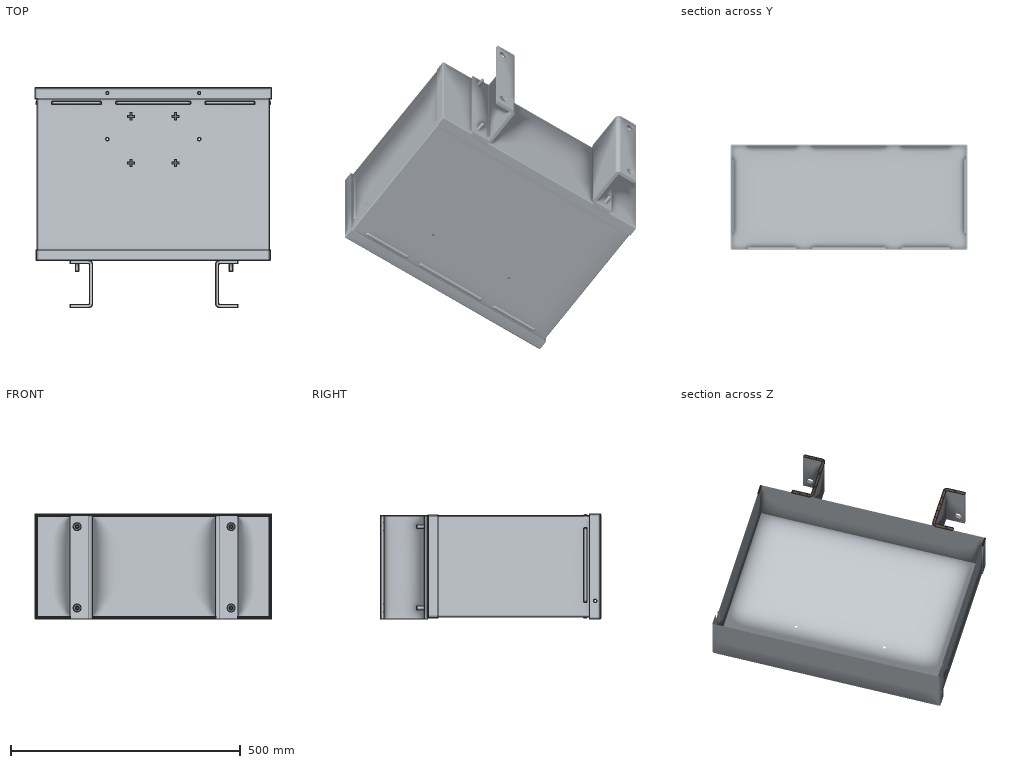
import cadquery as cq

sheet = 1.5
corner_radius = 2.2
cut_margin = 10.0

lid_width = 515.25
lid_height = 229.0
lid_depth = 25.0
lid_sheet = 2.0
lid_corner_radius = 2.5
lid_bend_radius = 3.8

enclosure_depth = 376.9
sleeve_width = 506.5
sleeve_height = 221.0
front_width = sleeve_width + 2 * sheet
front_height = sleeve_height + 2 * sheet
front_depth = 22.5
front_bend_radius = 1.5
sleeve_start = sheet
sleeve_end = enclosure_depth - lid_sheet
lid_start = enclosure_depth - lid_depth

bead_radius = 5.0
bead_rise = 2.0
bead_width = 8.0
bead_y = lid_start - 8.8
long_bead = 164.0
short_bead = 109.5
short_bead_x = 167.0
side_bead_z = 3.0

screw_hole = 6.5
lid_hole_y = enclosure_depth - lid_depth / 2
top_hole_x = 100.0
sleeve_hole_y = 264.0
side_hole_z = -75.0
cable_hole = 7.0
cable_hole_y = 298.5

cross_length = 16.0
cross_arm = 4.0
cross_x = 48.5
cross_y_middle = 262.8
cross_spacing_y = 101.6

bracket_middle_x = 1.8
bracket_middle_z = -2.0
bracket_length = 225.0
bracket_depth = 479.27 - enclosure_depth
bracket_width = 48.8
bracket_plate = 7.0
bracket_inner_bend = 1.8
bracket_outer_bend = bracket_inner_bend + bracket_plate
bracket_outer_x = 182.5
access_hole = 17.0

stud_diameter = 8.0
stud_length = 24.0
stud_chamfer = 1.0
stud_x = bracket_outer_x - 15.0
stud_spacing_z = 177.0


def block(width, y_start, y_end, height):
    """Block centred in X and Z, from y_start to y_end."""
    return (
        cq.Workplane("XY")
        .box(width, y_end - y_start, height)
        .translate((0, (y_start + y_end) / 2, 0))
    )


def rounded_block(width, y_start, y_end, height, radius):
    return block(width, y_start, y_end, height).edges("|Y").fillet(radius)


def rod_x(diameter, x_start, x_end, y, z):
    """Cylinder along X."""
    return cq.Workplane("YZ", origin=(x_start, y, z)).circle(diameter / 2).extrude(x_end - x_start)


def rod_z(diameter, z_start, z_end, x, y):
    """Cylinder along Z."""
    return cq.Workplane("XY", origin=(x, y, z_start)).circle(diameter / 2).extrude(z_end - z_start)


def rod_forward(diameter, y_start, length, x, z):
    """Cylinder that starts at y_start and points toward -Y."""
    return cq.Workplane("XZ", origin=(x, y_start, z)).circle(diameter / 2).extrude(length)


def capsule(radius, straight):
    """Round-ended bar along X, centred on the origin."""
    half_profile = (
        cq.Workplane("XY")
        .moveTo(-straight / 2 - radius, 0)
        .radiusArc((-straight / 2, radius), radius)
        .lineTo(straight / 2, radius)
        .radiusArc((straight / 2 + radius, 0), radius)
        .close()
    )
    return half_profile.revolve(360, (0, 0, 0), (1, 0, 0))


def bead_places():
    """Length, whether it stands upright, and centre of each bead's axis."""
    axis_drop = bead_radius - bead_rise
    wall_z = sleeve_height / 2 - axis_drop
    wall_x = sleeve_width / 2 - axis_drop
    places = []
    for z in (wall_z, -wall_z):
        places.append((long_bead, False, (0, bead_y, z)))
        for x in (-short_bead_x, short_bead_x):
            places.append((short_bead, False, (x, bead_y, z)))
    for x in (-wall_x, wall_x):
        places.append((long_bead, True, (x, bead_y, side_bead_z)))
    return places


def bead_bars(radius):
    bars = []
    for length, upright, centre in bead_places():
        bar = capsule(radius, length - bead_width)
        if upright:
            bar = bar.rotate((0, 0, 0), (0, 1, 0), 90)
        bars.append(bar.translate(centre))
    return bars


def cross(x, y):
    """Cross-shaped cutter that passes through the top wall only."""
    middle = cq.Workplane("XY", origin=(x, y, sleeve_height / 2))
    return middle.box(cross_length, cross_arm, cut_margin).union(
        middle.box(cross_arm, cross_length, cut_margin)
    )


def make_sleeve():
    """Open tube with beads, cross cut-outs and screw holes."""
    sleeve = rounded_block(sleeve_width, sleeve_start, sleeve_end, sleeve_height, corner_radius)
    for bar in bead_bars(bead_radius):
        sleeve = sleeve.union(bar)
    sleeve = sleeve.cut(
        rounded_block(
            sleeve_width - 2 * sheet,
            sleeve_start - cut_margin,
            sleeve_end + cut_margin,
            sleeve_height - 2 * sheet,
            corner_radius - sheet,
        )
    )
    for bar in bead_bars(bead_radius - sheet):
        sleeve = sleeve.cut(bar)
    for x in (-cross_x, cross_x):
        for side in (-1, 1):
            sleeve = sleeve.cut(cross(x, cross_y_middle + side * cross_spacing_y / 2))
    for x in (-top_hole_x, top_hole_x):
        sleeve = sleeve.cut(rod_z(screw_hole, -lid_height, lid_height, x, sleeve_hole_y))
    sleeve = sleeve.cut(rod_x(cable_hole, -lid_width, 0, cable_hole_y, side_hole_z))
    return sleeve.cut(rod_x(screw_hole, -lid_width, lid_width, lid_hole_y, side_hole_z))


def make_lid():
    """Shallow tray closing the rear end, with screw holes in its top and sides."""
    lid = rounded_block(lid_width, lid_start, enclosure_depth, lid_height, lid_corner_radius)
    lid = lid.faces(">Y").edges().fillet(lid_bend_radius)
    lid = lid.cut(
        rounded_block(
            lid_width - 2 * lid_sheet,
            lid_start - cut_margin,
            enclosure_depth - lid_sheet,
            lid_height - 2 * lid_sheet,
            lid_corner_radius - lid_sheet,
        )
    )
    for x in (-top_hole_x, top_hole_x):
        lid = lid.cut(rod_z(screw_hole, 0, lid_height, x, lid_hole_y))
    return lid.cut(rod_x(screw_hole, -lid_width, lid_width, lid_hole_y, side_hole_z))


def make_front_cover():
    """Shallow tray fitted over the front end of the sleeve."""
    cover = rounded_block(front_width, 0, front_depth, front_height, corner_radius)
    cover = cover.faces("<Y").edges().fillet(front_bend_radius)
    pocket = rounded_block(
        sleeve_width, sheet, front_depth + cut_margin, sleeve_height, corner_radius
    )
    return cover.cut(pocket)


def make_bracket():
    """Left bracket: bent C channel, its two flanges pointing toward -X."""
    x_outer = bracket_middle_x - bracket_outer_x
    x_web = x_outer + bracket_width
    z_bottom = bracket_middle_z - bracket_length / 2
    bracket = (
        cq.Workplane("XY", origin=(0, 0, z_bottom))
        .moveTo(x_outer, 0)
        .lineTo(x_web - bracket_outer_bend, 0)
        .radiusArc((x_web, -bracket_outer_bend), bracket_outer_bend)
        .lineTo(x_web, -bracket_depth + bracket_outer_bend)
        .radiusArc((x_web - bracket_outer_bend, -bracket_depth), bracket_outer_bend)
        .lineTo(x_outer, -bracket_depth)
        .lineTo(x_outer, -bracket_depth + bracket_plate)
        .lineTo(x_web - bracket_outer_bend, -bracket_depth + bracket_plate)
        .radiusArc((x_web - bracket_plate, -bracket_depth + bracket_outer_bend), -bracket_inner_bend)
        .lineTo(x_web - bracket_plate, -bracket_outer_bend)
        .radiusArc((x_web - bracket_outer_bend, -bracket_plate), -bracket_inner_bend)
        .lineTo(x_outer, -bracket_plate)
        .close()
        .extrude(bracket_length)
    )
    for z in stud_heights():
        x = bracket_middle_x - stud_x
        bracket = bracket.cut(rod_forward(stud_diameter, 0, bracket_plate, x, z))
        front_flange = bracket_plate - bracket_depth
        bracket = bracket.cut(rod_forward(access_hole, front_flange, bracket_plate, x, z))
    return bracket


def stud_heights():
    return [bracket_middle_z + side * stud_spacing_z / 2 for side in (-1, 1)]


def make_stud(x, z):
    stud = rod_forward(stud_diameter, 0, stud_length, x, z)
    return stud.faces("<Y").chamfer(stud_chamfer)


sleeve = make_sleeve()
lid = make_lid()
front_cover = make_front_cover()
left_bracket = make_bracket()
right_bracket = left_bracket.mirror("YZ", (bracket_middle_x, 0, 0))
studs = [
    make_stud(bracket_middle_x + side * stud_x, z).val() for side in (-1, 1) for z in stud_heights()
]

result = cq.Compound.makeCompound(
    [sleeve.val(), lid.val(), front_cover.val(), left_bracket.val(), right_bracket.val(), *studs]
)